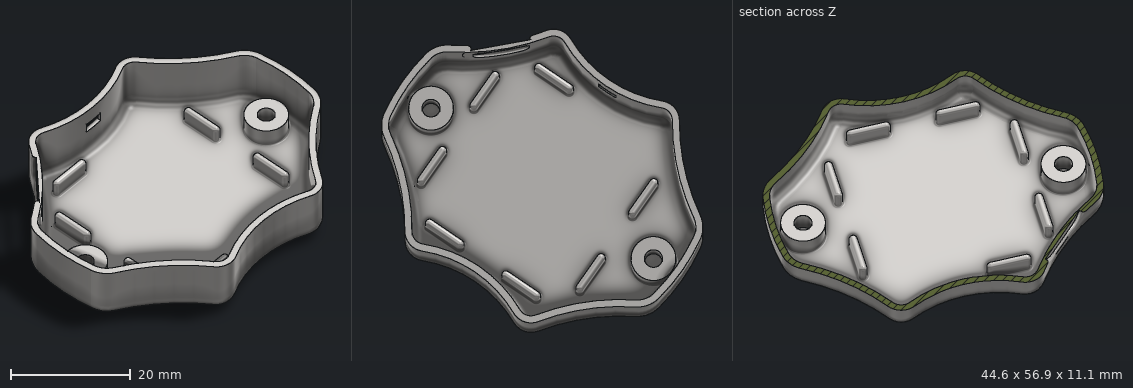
import cadquery as cq
import math

HEIGHT = 11.1
WALL = 1.2
BOTTOM_ROUND = 3.0
SIDE_MID_X = 19.88
SIDE_RADIUS = 21.79
END_MID_Y = 28.445
END_RADIUS = 34.74
DIAGONAL_CENTER = (42.4, 45.15)
DIAGONAL_RADIUS = 38.26
SIDE_LOBE_RADIUS = 3.38
END_LOBE_RADIUS = 5.0
SIDE_CENTER_X = SIDE_MID_X + SIDE_RADIUS
END_CENTER_Y = END_MID_Y - END_RADIUS

BOSS_Y = 22.6
BOSS_RADIUS = 3.75
BOSS_HEIGHT = 3.5
BOSS_HOLE_RADIUS = 1.5
BOSS_FOOT_FILLET = 0.4
EMBED = 0.4

BOARD_CENTER_Y = -0.94
RIB_REACH = 16.12
RIB_OFFSET = 7.77
RIB_LENGTH = 7.6
RIB_WIDTH = 1.4
RIB_TOP_ROUND = 0.69
RIB_HEIGHT = 3.0
RIB_FOOT_FILLET = 0.5

PORT_CENTER_Z = 8.0
PORT_FLOOR_DISTANCE = 23.25
PORT_SHIFT = 2.8
PORT_SLOT = (9.55, 3.75)
PORT_SLOT_CORNER = 1.55
PORT_RECESS = (12.95, 7.3)
PORT_RECESS_CORNER = 3.35
PORT_MOUTH_ROUND = 0.45

WINDOW_CENTER = (0.26, 7.08)
WINDOW_MOUTH = (8.8, 3.3)
WINDOW_THROAT = (3.5, 1.8)
WINDOW_RAMP_WIDTH = 1.6
WINDOW_RAMP_DEPTH = 0.2

CUT_MARGIN = 2.0
SELECT_MARGIN = 0.05
FOOT_SEARCH_HEIGHT = 1.0


def circle_crossing(center_a, radius_a, center_b, radius_b):
    """Return the crossing of two circles that has the lower X."""
    dx = center_b[0] - center_a[0]
    dy = center_b[1] - center_a[1]
    distance = math.hypot(dx, dy)
    along = (radius_a**2 - radius_b**2 + distance**2) / (2 * distance)
    across = math.sqrt(radius_a**2 - along**2)
    crossings = [
        (
            center_a[0] + (along * dx - sign * across * dy) / distance,
            center_a[1] + (along * dy + sign * across * dx) / distance,
        )
        for sign in (1, -1)
    ]
    return min(crossings)


def point_toward(center, radius, target):
    """Return the point at a given radius from a centre, in the direction of a target."""
    dx = target[0] - center[0]
    dy = target[1] - center[1]
    scale = radius / math.hypot(dx, dy)
    return (center[0] + dx * scale, center[1] + dy * scale)


def mirrored(points, sign_x, sign_y):
    return [(sign_x * x, sign_y * y) for x, y in points]


def tray_outline(inset):
    """Return the closed outline, moved inward by `inset`, as a workplane on Z = 0."""
    side_center = (SIDE_CENTER_X, 0)
    end_center = (0, END_CENTER_Y)
    side_radius = SIDE_RADIUS + inset
    diagonal_radius = DIAGONAL_RADIUS + inset
    end_radius = END_RADIUS - inset
    side_lobe = SIDE_LOBE_RADIUS - inset
    end_lobe = END_LOBE_RADIUS - inset

    side_lobe_center = circle_crossing(
        side_center, side_radius + side_lobe, DIAGONAL_CENTER, diagonal_radius + side_lobe
    )
    end_lobe_center = circle_crossing(
        DIAGONAL_CENTER, diagonal_radius + end_lobe, end_center, end_radius - end_lobe
    )
    side_end = point_toward(side_center, side_radius, side_lobe_center)
    diagonal_start = point_toward(DIAGONAL_CENTER, diagonal_radius, side_lobe_center)
    diagonal_end = point_toward(DIAGONAL_CENTER, diagonal_radius, end_lobe_center)
    end_start = point_toward(end_center, end_radius, end_lobe_center)

    def chord_middle(point_a, point_b):
        return ((point_a[0] + point_b[0]) / 2, (point_a[1] + point_b[1]) / 2)

    quarter = [
        side_end,
        point_toward(side_lobe_center, side_lobe, chord_middle(side_end, diagonal_start)),
        diagonal_start,
        point_toward(DIAGONAL_CENTER, diagonal_radius, chord_middle(diagonal_start, diagonal_end)),
        diagonal_end,
        point_toward(end_lobe_center, end_lobe, chord_middle(diagonal_end, end_start)),
        end_start,
    ]
    side_middle = (SIDE_MID_X - inset, 0)
    end_middle = (0, END_MID_Y - inset)
    loop = quarter + [end_middle]
    loop += mirrored(quarter, -1, 1)[::-1] + mirrored([side_middle], -1, 1)
    loop += mirrored(quarter, -1, -1) + mirrored([end_middle], 1, -1)
    loop += mirrored(quarter, 1, -1)[::-1] + [side_middle, side_end]

    outline = cq.Workplane("XY").moveTo(*loop[0])
    for middle, end in zip(loop[1::2], loop[2::2]):
        outline = outline.threePointArc(middle, end)
    return outline.close()


def tray_solid(inset):
    """Return the outline raised from the inset height to the rim, with its bottom edge rounded."""
    block = tray_outline(inset).extrude(HEIGHT - inset)
    return block.faces("<Z").edges().fillet(BOTTOM_ROUND - inset).translate((0, 0, inset))


def fillet_foot(body, place, size_x, size_y, radius):
    """Fillet the foot edges of a feature of the given plan size standing on the floor."""
    x, y, z = place
    reach_x = size_x / 2 + SELECT_MARGIN
    reach_y = size_y / 2 + SELECT_MARGIN
    low_corner = (x - reach_x, y - reach_y, z - SELECT_MARGIN)
    high_corner = (x + reach_x, y + reach_y, z + FOOT_SEARCH_HEIGHT)
    return body.edges(cq.selectors.BoxSelector(low_corner, high_corner)).fillet(radius)


def make_rib():
    """Return a round-topped rib along Y, centred on the origin, standing on Z = 0."""
    rib = cq.Workplane("XY", origin=(0, 0, -EMBED)).slot2D(RIB_LENGTH, RIB_WIDTH, 90)
    rib = rib.extrude(RIB_HEIGHT + EMBED)
    return rib.faces(">Z").edges().fillet(RIB_TOP_ROUND)


def add_ribs(body):
    rib_along_y = make_rib()
    rib_along_x = rib_along_y.rotate((0, 0, 0), (0, 0, 1), 90)
    for side in (-1, 1):
        for end in (-1, 1):
            place = (side * RIB_OFFSET, BOARD_CENTER_Y + end * RIB_REACH, WALL)
            body = body.union(rib_along_x.translate(place))
            body = fillet_foot(body, place, RIB_LENGTH, RIB_WIDTH, RIB_FOOT_FILLET)
            if (side, end) != (-1, 1):
                place = (side * RIB_REACH, BOARD_CENTER_Y + end * RIB_OFFSET, WALL)
                body = body.union(rib_along_y.translate(place))
                body = fillet_foot(body, place, RIB_WIDTH, RIB_LENGTH, RIB_FOOT_FILLET)
    return body


def add_bosses(body):
    """Add the two screw bosses, each with a blind hole down to the floor."""
    boss = cq.Workplane("XY", origin=(0, 0, -EMBED)).circle(BOSS_RADIUS).extrude(BOSS_HEIGHT + EMBED)
    hole = cq.Workplane("XY").circle(BOSS_HOLE_RADIUS).extrude(BOSS_HEIGHT)
    for end in (-1, 1):
        place = (0, end * BOSS_Y, WALL)
        body = body.union(boss.translate(place))
        body = fillet_foot(body, place, 2 * BOSS_RADIUS, 2 * BOSS_RADIUS, BOSS_FOOT_FILLET)
        body = body.cut(hole.translate(place))
    return body


def cut_port(body):
    """Cut the connector slot and its round-mouthed recess along the -X -Y diagonal."""
    outward = cq.Vector(-1, -1, 0).normalized()
    sideways = cq.Vector(1, -1, 0).normalized()
    origin = outward * PORT_FLOOR_DISTANCE + sideways * PORT_SHIFT + cq.Vector(0, 0, PORT_CENTER_Z)
    plane = cq.Plane(origin=origin, xDir=sideways, normal=outward)

    def rounded_prism(size, corner, start, depth):
        prism = cq.Workplane(plane).workplane(offset=start).rect(*size).extrude(depth)
        return prism.edges(cq.selectors.ParallelDirSelector(outward)).fillet(corner)

    def is_mouth_edge(edge):
        from_origin = edge.Center() - origin
        above_floor = from_origin.dot(outward) > SELECT_MARGIN
        beside_port = abs(from_origin.dot(sideways)) < PORT_RECESS[0] / 2 + SELECT_MARGIN
        beside_wall = abs(from_origin.z) < PORT_RECESS[1] / 2 + SELECT_MARGIN
        below_rim = edge.Center().z < HEIGHT - SELECT_MARGIN
        runs_along_wall = abs(edge.tangentAt(0.5).dot(outward)) < math.sqrt(0.5)
        return above_floor and beside_port and beside_wall and below_rim and runs_along_wall

    recess = rounded_prism(PORT_RECESS, PORT_RECESS_CORNER, 0, CUT_MARGIN)
    slot = rounded_prism(PORT_SLOT, PORT_SLOT_CORNER, -CUT_MARGIN, 2 * CUT_MARGIN)
    body = body.cut(recess)
    mouth_edges = [edge for edge in body.edges().vals() if is_mouth_edge(edge)]
    return body.newObject(mouth_edges).fillet(PORT_MOUTH_ROUND).cut(slot)


def cut_window(body):
    """Cut the window as the overlap of a flare in plan and a flare in height that follows the wall."""
    center_y, center_z = WINDOW_CENTER
    mouth_half_y, mouth_half_z = (size / 2 for size in WINDOW_MOUTH)
    throat_half_y, throat_half_z = (size / 2 for size in WINDOW_THROAT)
    round_radius = mouth_half_z - throat_half_z
    inner_x = -SIDE_MID_X + WALL + CUT_MARGIN / 2
    outer_x = -SIDE_MID_X - CUT_MARGIN

    def wall_x(y):
        return math.sqrt(SIDE_RADIUS**2 - y**2) - SIDE_CENTER_X

    def plan_half(side):
        """Return the plan on one Y side: a shallow ramp curving into the throat."""
        mouth_y = center_y + side * mouth_half_y
        ramp_end_y = center_y + side * (mouth_half_y - WINDOW_RAMP_WIDTH)
        throat_y = center_y + side * throat_half_y
        ramp_end = (wall_x(ramp_end_y) + WINDOW_RAMP_DEPTH, ramp_end_y)
        throat_start = (ramp_end[0] + round_radius, throat_y)
        ramp_direction = (ramp_end[0] - wall_x(mouth_y), ramp_end_y - mouth_y)
        return (
            cq.Workplane("XY", origin=(0, 0, -mouth_half_z))
            .moveTo(outer_x, center_y)
            .lineTo(outer_x, mouth_y)
            .lineTo(wall_x(mouth_y), mouth_y)
            .spline([ramp_end, throat_start], tangents=[ramp_direction, (1, 0)], includeCurrent=True)
            .lineTo(inner_x, throat_y)
            .lineTo(inner_x, center_y)
            .close()
            .extrude(2 * mouth_half_z)
        )

    plan_flare = plan_half(1).union(plan_half(-1))

    mid = round_radius * math.sqrt(0.5)
    half_height = (
        cq.Workplane("XZ")
        .moveTo(outer_x, 0)
        .lineTo(outer_x, mouth_half_z)
        .lineTo(-SIDE_MID_X, mouth_half_z)
        .threePointArc(
            (-SIDE_MID_X + round_radius - mid, throat_half_z + round_radius - mid),
            (-SIDE_MID_X + round_radius, throat_half_z),
        )
        .lineTo(inner_x, throat_half_z)
        .lineTo(inner_x, 0)
        .close()
        .revolve(360, (-SIDE_CENTER_X, 0, 0), (-SIDE_CENTER_X, 1, 0))
    )
    height_flare = half_height.union(half_height.mirror("XY"))
    window = plan_flare.intersect(height_flare)
    return body.cut(window.translate((0, 0, center_z)))


body = tray_solid(0).cut(tray_solid(WALL))
body = add_ribs(body)
body = add_bosses(body)
body = cut_port(body)
result = cut_window(body)